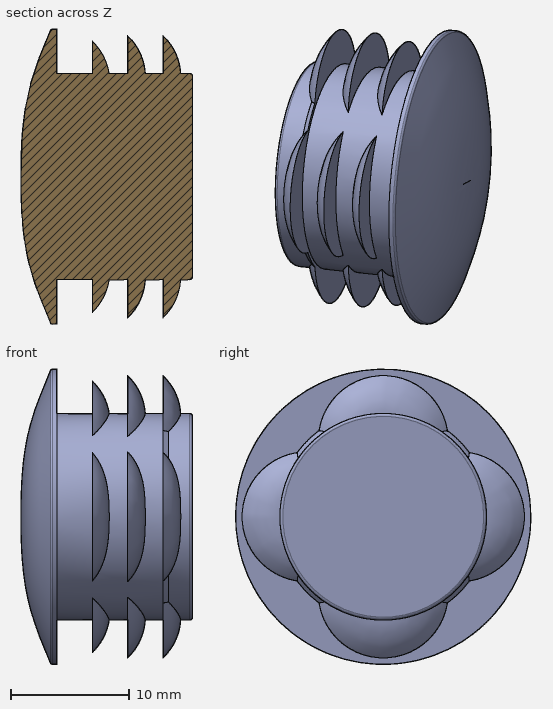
import cadquery as cq
import math


HEAD_DIAMETER = 25.0
DOME_HEIGHT = 2.55
DOME_MID_RADIUS = 7.5
DOME_MID_DEPTH = 0.72
DOME_RIM_SLOPE = 0.43
RIM_THICKNESS = 0.5
RIM_FILLET = 0.2

STEM_DIAMETER = 17.5
STEM_LENGTH = 11.5
STEM_END_FILLET = 0.25

BARBS_PER_ROW = 4
BARB_PITCH = 3.0
BARB_THICKNESS = 1.5
BARB_RADIUS = 5.5
BARB_CREST_RADIUS = 2.0
FIRST_ROW_REACH = 11.5
OTHER_ROW_REACH = 11.95
ROW_REACHES = (FIRST_ROW_REACH, OTHER_ROW_REACH, OTHER_ROW_REACH)

COLLAR_RADIUS = 9.1
COLLAR_LENGTH = 0.46

head_radius = HEAD_DIAMETER / 2
stem_radius = STEM_DIAMETER / 2
stem_start = DOME_HEIGHT + RIM_THICKNESS


def revolve_about_x(profile):
    """Revolve a closed XY profile a full turn about the X axis."""
    return profile.revolve(360, (0, 0, 0), (1, 0, 0))


def arc_sag(radius, half_chord):
    """Height of a circular arc over a chord of the given half length."""
    return radius - math.sqrt(radius**2 - half_chord**2)


def make_head():
    """Flattened dome on a thin cylindrical rim with a rounded front edge."""
    dome_points = [(0, 0), (DOME_MID_DEPTH, DOME_MID_RADIUS), (DOME_HEIGHT, head_radius)]
    apex_tangent = (0, 1)
    rim_tangent = (DOME_RIM_SLOPE, 1)
    profile = (
        cq.Workplane("XY")
        .spline(dome_points, tangents=[apex_tangent, rim_tangent])
        .lineTo(stem_start, head_radius)
        .lineTo(stem_start, 0)
        .close()
    )
    rim_edge = cq.selectors.NearestToPointSelector((DOME_HEIGHT, 0, 0))
    return revolve_about_x(profile).edges("%CIRCLE").edges(rim_edge).fillet(RIM_FILLET)


def make_stem():
    """Cylinder behind the head with a rounded free end."""
    stem = cq.Workplane("YZ", origin=(stem_start, 0, 0)).circle(stem_radius).extrude(STEM_LENGTH)
    return stem.faces(">X").edges().fillet(STEM_END_FILLET)


def make_barb(row_start, reach):
    """Barb on the +Z side: flat front face and a back that curves down to the face's rim."""
    slope_width = BARB_RADIUS - BARB_CREST_RADIUS
    back_arc_radius = (slope_width**2 + BARB_THICKNESS**2) / (2 * BARB_THICKNESS)
    mid_width = slope_width / 2
    mid_point = (BARB_THICKNESS - arc_sag(back_arc_radius, mid_width), BARB_CREST_RADIUS + mid_width)
    profile = (
        cq.Workplane("XY")
        .moveTo(0, 0)
        .lineTo(0, BARB_RADIUS)
        .threePointArc(mid_point, (BARB_THICKNESS, BARB_CREST_RADIUS))
        .lineTo(BARB_THICKNESS, 0)
        .close()
    )
    return revolve_about_x(profile).translate((row_start, 0, reach - BARB_RADIUS))


def make_collar(row_start):
    """Short cone from the front face of a barb row down to the stem surface."""
    profile = (
        cq.Workplane("XY")
        .moveTo(row_start, 0)
        .lineTo(row_start, COLLAR_RADIUS)
        .lineTo(row_start + COLLAR_LENGTH, stem_radius)
        .lineTo(row_start + COLLAR_LENGTH, 0)
        .close()
    )
    return revolve_about_x(profile)


plug = make_head().union(make_stem())

for row, row_reach in enumerate(ROW_REACHES):
    barb = make_barb(stem_start + (row + 1) * BARB_PITCH, row_reach)
    for position in range(BARBS_PER_ROW):
        angle = position * 360 / BARBS_PER_ROW
        plug = plug.union(barb.rotate((0, 0, 0), (1, 0, 0), angle))

last_row_start = stem_start + len(ROW_REACHES) * BARB_PITCH
result = plug.union(make_collar(last_row_start))